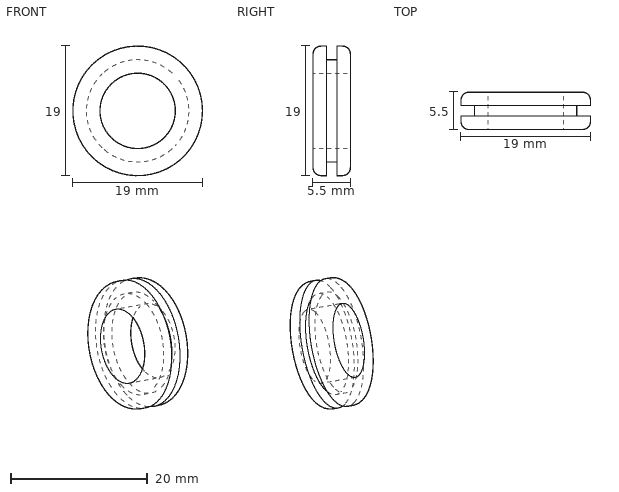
import cadquery as cq

outer_diameter = 19.0
bore_diameter = 11.0
groove_diameter = 15.0
total_width = 5.5
groove_width = 1.5
rim_radius = 1.2


def cylinder(diameter, width):
    """Cylinder along the Y axis, centred on the origin."""
    end_plane = cq.Workplane("XZ", origin=(0, width / 2, 0))
    return end_plane.circle(diameter / 2).extrude(width)


def rounded_disc():
    """Full-width disc with both outer rims rounded."""
    return cylinder(outer_diameter, total_width).edges("%CIRCLE").fillet(rim_radius)


def panel_groove():
    """Ring of material removed between the two flanges."""
    return cylinder(outer_diameter, groove_width).cut(cylinder(groove_diameter, groove_width))


bore = cylinder(bore_diameter, total_width)
result = rounded_disc().cut(panel_groove()).cut(bore)